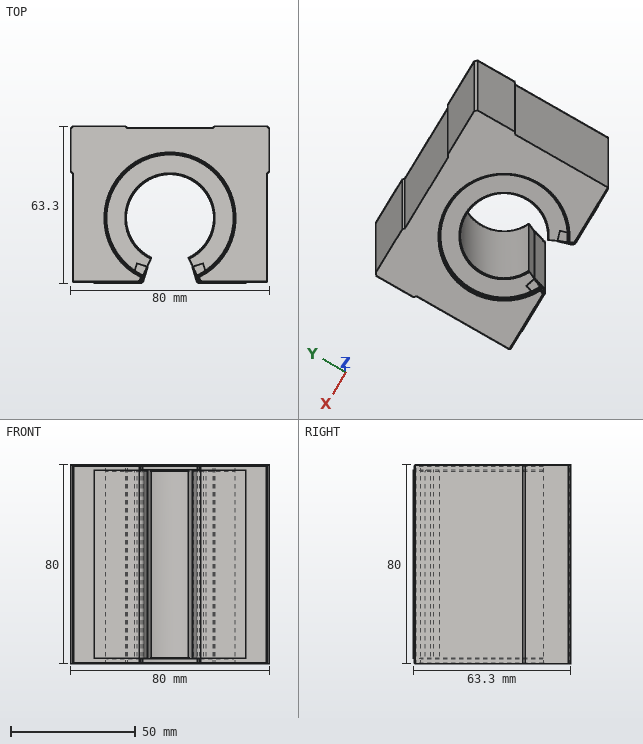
import cadquery as cq
import math


length = 80.0
half_width = 40.0
back_y = 37.0
front_y = -25.9
side_step = 1.0
shoulder_y = 18.7
back_relief_depth = 0.7
back_relief_half_width = 17.9
back_corner_bevel = 1.0
front_corner_bevel = 0.4
end_chamfer = 0.5

sleeve_radius = 26.0
bore_radius = 17.6
sleeve_chamfer = 0.5
sleeve_recess = 2.0

slot_half_angle = 25.0
slot_corner_bevel = 0.6

seal_width = 4.2

plate_thickness = 0.4
plate_recess = 2.2
plate_outer_x = 30.4
plate_bend_x = 12.4
plate_bend_radius = 1.9
leg_angle = 17.0
leg_tip_y = -19.6

sides = (-1, 1)
touch_tolerance = 0.01
leg_sin = math.sin(math.radians(leg_angle))
leg_cos = math.cos(math.radians(leg_angle))
leg_slope = leg_sin / leg_cos
bend_turn = math.radians(90 - leg_angle)
slot_sin = math.sin(math.radians(slot_half_angle))
slot_cos = math.cos(math.radians(slot_half_angle))


def prism(points):
    """Upright prism as long as the housing."""
    return cq.Workplane("XY").polyline(points).close().extrude(length / 2, both=True)


def cylinder(radius, recess=0.0):
    """Cylinder on the bore axis that stops short of both housing ends by the recess."""
    height = length - 2 * recess
    return cq.Workplane("XY").circle(radius).extrude(height / 2, both=True)


def mirrored(half_outline):
    """Close an outline given for +X by adding its mirror image."""
    return half_outline + [(-x, y) for x, y in reversed(half_outline)]


def make_housing():
    side_x = half_width - side_step
    block = prism(mirrored([
        (back_relief_half_width - back_relief_depth, back_y - back_relief_depth),
        (back_relief_half_width, back_y),
        (half_width - back_corner_bevel, back_y),
        (half_width, back_y - back_corner_bevel),
        (half_width, shoulder_y),
        (side_x, shoulder_y - side_step),
        (side_x, front_y + front_corner_bevel),
        (side_x - front_corner_bevel, front_y),
    ]))

    bevel_y = front_y + slot_corner_bevel
    bevel_x = -bevel_y * slot_sin / slot_cos
    corner_x = bevel_x + slot_corner_bevel
    slot = prism([
        (0, 0),
        (bevel_x, bevel_y),
        (corner_x, front_y),
        (-corner_x, front_y),
        (-bevel_x, bevel_y),
    ])
    opened = block.cut(cylinder(sleeve_radius)).cut(slot)

    def is_chamfered(edge):
        middle = edge.Center()
        in_slot = abs(middle.x) < corner_x and middle.y < 0
        on_front = abs(middle.y - front_y) < touch_tolerance
        return edge.geomType() == "CIRCLE" or in_slot or on_front

    end_edges = opened.faces("|Z").edges().filter(is_chamfered)
    return end_edges.chamfer(end_chamfer)


def slot_face_point(side, radius):
    """Point on one face of the sleeve slot."""
    return (side * radius * slot_sin, -radius * slot_cos)


def make_sleeve_blank():
    """Slotted sleeve with chamfered ends, before its grooves are cut."""
    reach = 2 * sleeve_radius
    opening = prism([(0, 0), slot_face_point(-1, reach), slot_face_point(1, reach)])
    ring = cylinder(sleeve_radius, sleeve_recess).cut(cylinder(bore_radius))
    return ring.faces("|Z").edges().chamfer(sleeve_chamfer).cut(opening)


def bend_point(side, radius, angle):
    """Point on the bend of a plate, turned by an angle from where the flat part ends."""
    center_y = front_y - plate_thickness + plate_bend_radius
    return (side * (plate_bend_x - radius * math.sin(angle)), center_y - radius * math.cos(angle))


def leg_tip(side, depth):
    """Point on the tip of a plate leg, at a depth behind the outer face of the leg."""
    start_x, start_y = bend_point(side, plate_bend_radius, bend_turn)
    rise = leg_tip_y - start_y
    return (
        start_x + side * (depth * leg_cos - rise * leg_slope),
        leg_tip_y + depth * leg_sin,
    )


def make_groove(side, depth):
    """Prism behind a plate leg: as wide as the seal, from a depth behind the leg's outer face."""
    fall_x = side * sleeve_radius * leg_sin
    fall_y = -sleeve_radius * leg_cos
    near_x, near_y = leg_tip(side, depth)
    far_x, far_y = leg_tip(side, plate_thickness + seal_width)
    return prism([
        (near_x, near_y),
        (far_x, far_y),
        (far_x + fall_x, far_y + fall_y),
        (near_x + fall_x, near_y + fall_y),
    ])


def make_sleeve():
    """Sleeve with an edge groove on both sides of its slot, for the seal and the plate leg."""
    sleeve = make_sleeve_blank()
    for side in sides:
        sleeve = sleeve.cut(make_groove(side, 0))
    return sleeve


def make_seal(side):
    """Strip that fills the sleeve groove behind the plate leg."""
    return make_sleeve_blank().intersect(make_groove(side, plate_thickness))


def make_plate(side):
    """Bent strip: flat on the housing front, around the corner, then a leg up to the seal."""
    outer_y = front_y - plate_thickness
    inner_radius = plate_bend_radius - plate_thickness
    height = length - 2 * plate_recess
    return (
        cq.Workplane("XY")
        .moveTo(side * plate_outer_x, front_y)
        .lineTo(side * plate_outer_x, outer_y)
        .lineTo(side * plate_bend_x, outer_y)
        .threePointArc(
            bend_point(side, plate_bend_radius, bend_turn / 2),
            bend_point(side, plate_bend_radius, bend_turn),
        )
        .lineTo(*leg_tip(side, 0))
        .lineTo(*leg_tip(side, plate_thickness))
        .lineTo(*bend_point(side, inner_radius, bend_turn))
        .threePointArc(
            bend_point(side, inner_radius, bend_turn / 2),
            bend_point(side, inner_radius, 0),
        )
        .close()
        .extrude(height / 2, both=True)
    )


housing = make_housing()
seals = [make_seal(side) for side in sides]
sleeve = make_sleeve()
plates = [make_plate(side) for side in sides]

result = cq.Compound.makeCompound([
    housing.val(),
    sleeve.val(),
    *[seal.val() for seal in seals],
    *[plate.val() for plate in plates],
])